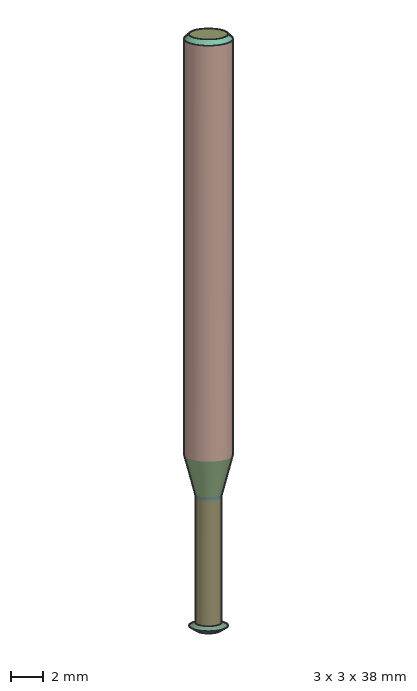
import math

import cadquery as cq

total_length = 38.0
shank_diameter = 3.0
shank_chamfer = 0.3

neck_diameter = 1.6
neck_top = 8.45
taper_half_angle = math.radians(15)
blend_radius = 1.0

head_diameter = 2.4
head_height = 0.5
edge_height = 0.3
tip_diameter = 1.45

shank_radius = shank_diameter / 2
neck_radius = neck_diameter / 2


def blend_point(angle):
    """Point on the blend arc, as (radius, height), at an angle from its neck end."""
    return (
        neck_radius + blend_radius * (1 - math.cos(angle)),
        neck_top + blend_radius * math.sin(angle),
    )


blend_middle = blend_point(taper_half_angle / 2)
blend_end = blend_point(taper_half_angle)
taper_height = (shank_radius - blend_end[0]) / math.tan(taper_half_angle)
shank_bottom = blend_end[1] + taper_height

profile = (
    cq.Workplane("XZ")
    .lineTo(tip_diameter / 2, 0)
    .lineTo(head_diameter / 2, edge_height)
    .lineTo(neck_radius, head_height)
    .lineTo(neck_radius, neck_top)
    .threePointArc(blend_middle, blend_end)
    .lineTo(shank_radius, shank_bottom)
    .lineTo(shank_radius, total_length - shank_chamfer)
    .lineTo(shank_radius - shank_chamfer, total_length)
    .lineTo(0, total_length)
    .close()
)

result = profile.revolve(360, (0, 0, 0), (0, 1, 0))